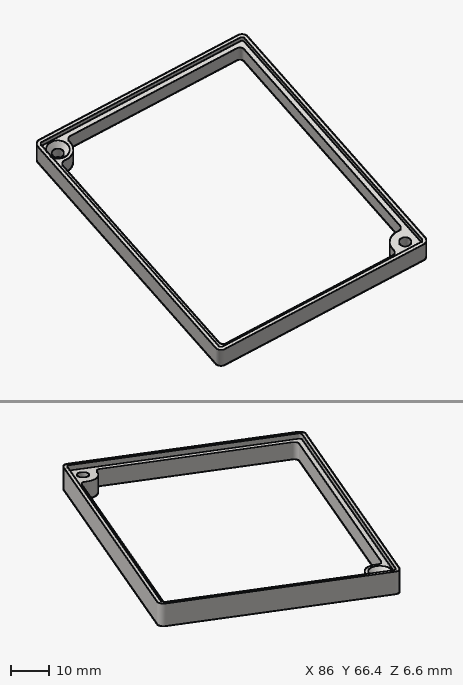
import cadquery as cq

length = 86.0
width = 66.4
height = 6.6
outer_radius = 1.7

lip_thickness = 1.0
lip_height = 1.55
ledge_height = height - lip_height

wall_thickness = 2.5
opening_radius = 1.3
boss_radius = 4.0
hole_inset = 4.5
hole_diameter = 3.2
countersink_diameter = 6.2
countersink_depth = (countersink_diameter - hole_diameter) / 2

hole_x = length / 2 - hole_inset
hole_y = width / 2 - hole_inset
boss_size = hole_inset + boss_radius


def rounded_block(inset, bottom, top, radius):
    """Block with rounded vertical edges, inset from the outer faces."""
    return (
        cq.Workplane("XY", origin=(0, 0, bottom))
        .rect(length - 2 * inset, width - 2 * inset)
        .extrude(top - bottom)
        .edges("|Z")
        .fillet(radius)
    )


def corner_boss(side):
    """Square corner block with its inward edge rounded about the screw hole."""
    center = side * (length - boss_size) / 2, side * (width - boss_size) / 2
    inward_edge = "<X and <Y" if side > 0 else ">X and >Y"
    return (
        cq.Workplane("XY")
        .center(*center)
        .rect(boss_size, boss_size)
        .extrude(ledge_height)
        .edges(f"|Z and ({inward_edge})")
        .fillet(boss_radius)
    )


def through_opening():
    """Central opening, notched by both bosses, with rounded inside corners."""
    opening = cq.Workplane("XY").box(
        length - 2 * wall_thickness,
        width - 2 * wall_thickness,
        ledge_height,
        centered=(True, True, False),
    )
    for side in (-1, 1):
        opening = opening.cut(corner_boss(side))

    wall_x = length / 2 - wall_thickness
    wall_y = width / 2 - wall_thickness
    notch_x = length / 2 - boss_size
    notch_y = width / 2 - boss_size
    corners = [(wall_x, -wall_y), (wall_x, notch_y), (notch_x, wall_y)]
    corners += [(-x, -y) for x, y in corners]
    for x, y in corners:
        opening = opening.edges(cq.NearestToPointSelector((x, y, ledge_height / 2))).fillet(opening_radius)
    return opening


frame = rounded_block(0, 0, height, outer_radius)
frame = frame.cut(rounded_block(lip_thickness, ledge_height, height, outer_radius - lip_thickness))
frame = frame.cut(through_opening())

screw_holes = (
    cq.Workplane("XY")
    .pushPoints([(hole_x, hole_y), (-hole_x, -hole_y)])
    .circle(hole_diameter / 2)
    .extrude(ledge_height)
)
countersink = (
    cq.Workplane("XY", origin=(-hole_x, -hole_y, ledge_height - countersink_depth))
    .circle(hole_diameter / 2)
    .workplane(offset=countersink_depth)
    .circle(countersink_diameter / 2)
    .loft()
)

result = frame.cut(screw_holes).cut(countersink)